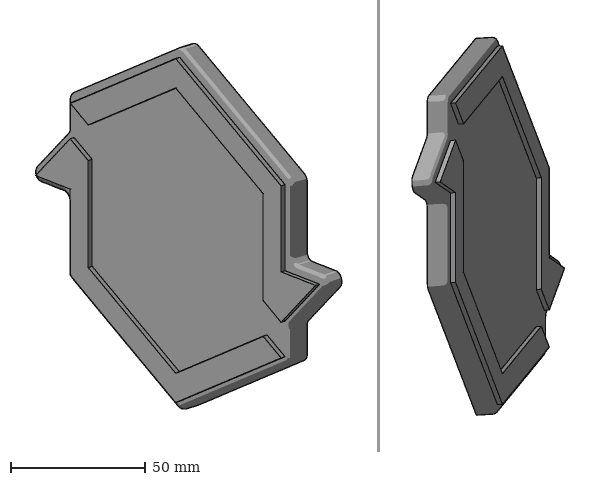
import cadquery as cq
import math

overall_width = 164.0
overall_height = 143.5

plate_thickness = 8.0
plate_edge_round = 2.0
plate_margin = 3.5
inner_corner_radius = 3.0

strip_thickness = 2.0
strip_outer_apothem = (overall_height / 2 - plate_margin) * math.cos(math.radians(30))
strip_inner_apothem = 49.0
tail_tip_x = overall_width / 2 - plate_margin

back_y = (plate_thickness + strip_thickness) / 2
seat_y = back_y - plate_thickness
tan_30 = math.tan(math.radians(30))

outer_side_half = strip_outer_apothem * tan_30
inner_side_half = strip_inner_apothem * tan_30

tail_cut_inner_z = -inner_side_half / 2
tail_cut_outer_z = tail_cut_inner_z - (strip_outer_apothem - strip_inner_apothem) * tan_30

strip_outer_edge = [
    (-strip_outer_apothem, outer_side_half),
    (0, 2 * outer_side_half),
    (strip_outer_apothem, outer_side_half),
    (strip_outer_apothem, 0),
    (tail_tip_x, 0),
    (strip_outer_apothem, tail_cut_outer_z),
]
strip_inner_edge = [
    (strip_inner_apothem, tail_cut_inner_z),
    (strip_inner_apothem, inner_side_half),
    (0, 2 * inner_side_half),
    (-strip_inner_apothem, inner_side_half),
]


def half_turn(points):
    return [(-x, -z) for x, z in points]


def face_plane(y):
    """XZ plane at the given Y; extruding from it goes toward -Y."""
    return cq.Workplane("XZ", origin=(0, y, 0))


def make_plate():
    """Plate outline: the outer edges of both strips, widened by the margin."""
    plate = (
        face_plane(back_y)
        .polyline(strip_outer_edge + half_turn(strip_outer_edge))
        .close()
        .offset2D(plate_margin, "arc")
        .extrude(plate_thickness)
    )
    inner_corners = plate.edges("|Y").filter(is_inner_corner)
    plate = plate.newObject(inner_corners.vals()).fillet(inner_corner_radius)
    return plate.faces("<Y").edges().fillet(plate_edge_round)


def is_inner_corner(edge):
    """True beside the vertical sides, at the heights where the tails meet them."""
    center = edge.Center()
    plate_apothem = strip_outer_apothem + plate_margin
    position_tolerance = 0.2
    on_side = abs(abs(center.x) - plate_apothem) < position_tolerance
    below_hexagon_corner = abs(center.z) < outer_side_half - position_tolerance
    return on_side and below_hexagon_corner


def make_strip(turn_angle):
    strip = face_plane(seat_y).polyline(strip_outer_edge + strip_inner_edge).close().extrude(strip_thickness)
    return strip.rotate((0, 0, 0), (0, 1, 0), turn_angle)


plate = make_plate()
strips = [make_strip(turn_angle) for turn_angle in (0, 180)]

result = cq.Compound.makeCompound([plate.val(), *[strip.val() for strip in strips]])